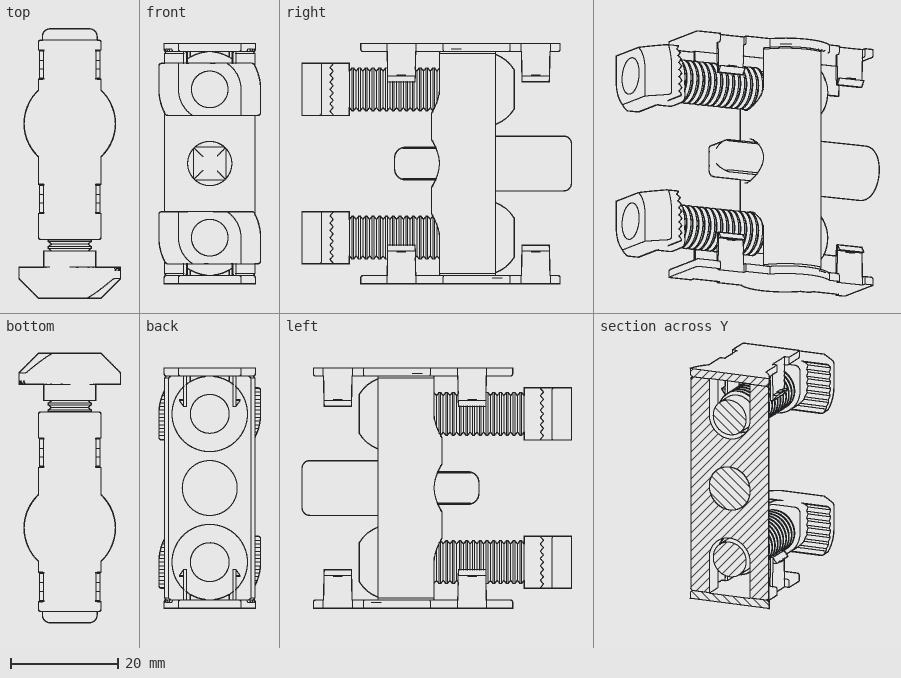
import cadquery as cq
import math


column_radius = 8.45
column_half_length = 20.85
column_flat_y = 3.5
column_rim_chamfer = 0.35
bore_radius = 4.1
bore_edge_fillet = 0.5
seat_notch_half_width = 3.6

plate_thickness = 1.55
plate_half_width = 5.8
plate_disc_radius = 8.55
plate_front_y = -21.6
plate_back_y = 15.55
plate_corner_fillet = 0.4
plate_edge_fillet = 0.45

clip_spacing = 25.0
front_clip_y = -14.0
clip_outer_x = 4.85
clip_thickness = 0.5
clip_root_width = 5.4
clip_tip_width = 5.1
clip_tip_z = 15.2
barb_height = 1.1
barb_reach = 0.8
barb_pad_width = 1.6
barb_pad_height = 0.2

pin_radius = 5.1
pin_back_y = 17.65
pin_edge_fillet = 1.45
shank_half_width = 3.05
shank_front_y = -15.3
shank_nose_radius = 2.1
shank_runout_y = -6.0

screw_z = 13.8
dome_radius = 7.05
dome_base_y = 1.0
dome_flat_y = 7.05
thread_outer_radius = 4.0
thread_root_radius = 3.4
thread_pitch = 1.25
thread_crest_width = 0.3
thread_crest_count = 14

nut_back_y = -23.7
head_back_y = -26.7
nut_front_y = -32.55
nut_half_height = 4.85
neck_corner_radius = 1.05
head_half_length = 9.5
head_corner_fillet = 0.55
head_bevel = 3.65
serration_pitch = 1.35
serration_depth = 0.6
serration_count = 7

plate_inner_z = column_half_length
plate_outer_z = plate_inner_z + plate_thickness


def y_cylinder(radius, front_y, back_y, z=0):
    """Cylinder along Y between two places."""
    return (
        cq.Workplane("XZ", origin=(0, front_y, 0))
        .center(0, z)
        .circle(radius)
        .extrude(front_y - back_y)
    )


def block(x_range, y_range, z_range):
    """Box given by its limits on each axis."""
    size = [high - low for low, high in (x_range, y_range, z_range)]
    corner = (x_range[0], y_range[0], z_range[0])
    return cq.Workplane("XY").box(*size, centered=False).translate(corner)


def cut_end_slot(column, side, radius, half_width, front_y, back_y):
    """Cut a round hole on a screw axis and a straight slot from it to that end of the column."""
    slot_z = sorted((side * screw_z, side * column_half_length))
    hole = y_cylinder(radius, front_y, back_y, side * screw_z)
    slot = block((-half_width, half_width), (front_y, back_y), slot_z)
    return column.cut(hole).cut(slot)


def make_column():
    column = (
        cq.Workplane("XY", origin=(0, 0, -column_half_length))
        .circle(column_radius)
        .extrude(2 * column_half_length)
        .edges("%CIRCLE")
        .chamfer(column_rim_chamfer)
    )
    column = column.cut(y_cylinder(bore_radius, -column_radius, column_flat_y))
    for side in (-1, 1):
        column = cut_end_slot(column, side, bore_radius, bore_radius, -column_radius, dome_base_y)

    mouth_half_length = column_half_length - column_rim_chamfer
    mouth_edges = cq.selectors.BoxSelector(
        (-column_radius / 2, -2 * column_radius, -mouth_half_length),
        (column_radius / 2, -column_radius / 2, mouth_half_length),
    )
    column = column.edges(mouth_edges).fillet(bore_edge_fillet)

    column = column.cut(
        block(
            (-column_radius, column_radius),
            (column_flat_y, column_radius),
            (-column_half_length, column_half_length),
        )
    )
    for side in (-1, 1):
        column = cut_end_slot(
            column, side, dome_radius, seat_notch_half_width, dome_base_y, column_flat_y
        )
    return column


def make_clip(center_y):
    """Snap clip on the +X side of the upper plate, with its barb facing outward."""
    arm = (
        cq.Workplane("YZ", origin=(clip_outer_x - clip_thickness, center_y, 0))
        .moveTo(-clip_root_width / 2, plate_outer_z)
        .lineTo(clip_root_width / 2, plate_outer_z)
        .lineTo(clip_tip_width / 2, clip_tip_z)
        .lineTo(-clip_tip_width / 2, clip_tip_z)
        .close()
        .extrude(clip_thickness)
    )
    ledge_z = clip_tip_z + barb_height
    barb = (
        cq.Workplane("XZ", origin=(0, center_y + clip_tip_width / 2, 0))
        .moveTo(clip_outer_x, clip_tip_z)
        .lineTo(clip_outer_x + barb_reach, ledge_z)
        .lineTo(clip_outer_x, ledge_z)
        .close()
        .extrude(clip_tip_width)
    )
    pad = block(
        (clip_outer_x, clip_outer_x + barb_reach),
        (center_y - barb_pad_width / 2, center_y + barb_pad_width / 2),
        (ledge_z, ledge_z + barb_pad_height),
    )
    return arm.union(barb).union(pad)


def make_upper_plate():
    strip = block(
        (-plate_half_width, plate_half_width),
        (plate_front_y, plate_back_y),
        (plate_inner_z, plate_outer_z),
    )
    disc = (
        cq.Workplane("XY", origin=(0, 0, plate_inner_z))
        .circle(plate_disc_radius)
        .extrude(plate_thickness)
    )
    plate = strip.edges("|Z").fillet(plate_corner_fillet).union(disc)
    plate = plate.faces("<Z").edges().fillet(plate_edge_fillet)

    for center_y in (front_clip_y, front_clip_y + clip_spacing):
        window = block(
            (clip_outer_x, plate_half_width),
            (center_y - clip_root_width / 2, center_y + clip_root_width / 2),
            (plate_inner_z, plate_outer_z),
        )
        clip = make_clip(center_y)
        plate = plate.cut(window).cut(window.mirror("YZ"))
        plate = plate.union(clip).union(clip.mirror("YZ"))
    return plate


def shank_prism(plane):
    """Prism with the outline of the shank: rounded nose, flats, then a sloping run-out."""
    nose_back_y = shank_front_y + shank_nose_radius
    nose_half_width = shank_half_width - shank_nose_radius
    slope_back_y = shank_runout_y + bore_radius - shank_half_width
    arc_offset = shank_nose_radius * math.sqrt(0.5)
    return (
        cq.Workplane(plane)
        .moveTo(0, shank_front_y)
        .lineTo(nose_half_width, shank_front_y)
        .threePointArc(
            (nose_half_width + arc_offset, nose_back_y - arc_offset),
            (shank_half_width, nose_back_y),
        )
        .lineTo(shank_half_width, shank_runout_y)
        .lineTo(bore_radius, slope_back_y)
        .lineTo(bore_radius, column_flat_y)
        .lineTo(0, column_flat_y)
        .mirrorY()
        .extrude(bore_radius, both=True)
    )


def make_pin():
    head = y_cylinder(pin_radius, column_flat_y, pin_back_y)
    head = head.faces(">Y").edges().fillet(pin_edge_fillet)
    shank = y_cylinder(bore_radius, shank_front_y, column_flat_y)
    shank = shank.intersect(shank_prism("XY"))
    shank = shank.intersect(shank_prism("ZY"))
    return head.union(shank)


def make_screw(z):
    dome_flat_radius = math.sqrt(dome_radius**2 - (dome_flat_y - dome_base_y) ** 2)
    dome_half_angle = math.asin((dome_flat_y - dome_base_y) / dome_radius) / 2
    dome_middle = (
        dome_radius * math.cos(dome_half_angle),
        dome_base_y + dome_radius * math.sin(dome_half_angle),
    )
    flank_width = (thread_pitch - thread_crest_width) / 2

    profile = (
        cq.Workplane("XY")
        .moveTo(0, nut_front_y)
        .lineTo(thread_root_radius, nut_front_y)
        .lineTo(thread_root_radius, nut_back_y)
    )
    for index in range(thread_crest_count):
        crest_y = nut_back_y + index * thread_pitch + flank_width
        crest_end_y = crest_y + thread_crest_width
        profile = (
            profile.lineTo(thread_outer_radius, crest_y)
            .lineTo(thread_outer_radius, crest_end_y)
            .lineTo(thread_root_radius, crest_end_y + flank_width)
        )
    profile = (
        profile.lineTo(thread_root_radius, dome_base_y)
        .lineTo(dome_radius, dome_base_y)
        .threePointArc(dome_middle, (dome_flat_radius, dome_flat_y))
        .lineTo(0, dome_flat_y)
        .close()
    )
    return profile.revolve(360, (0, 0, 0), (0, 1, 0)).translate((0, 0, z))


def make_neck():
    """Square neck with two opposite corners cut to full quarter circles.

    It reaches into the head as deep as the serrations, so they stop at its sides.
    """
    half = nut_half_height
    quarter = half * math.sqrt(0.5)
    corner = neck_corner_radius
    return (
        cq.Workplane("XZ", origin=(0, nut_back_y, 0))
        .moveTo(0, half)
        .threePointArc((quarter, quarter), (half, 0))
        .lineTo(half, corner - half)
        .tangentArcPoint((-corner, -corner))
        .lineTo(0, -half)
        .threePointArc((-quarter, -quarter), (-half, 0))
        .lineTo(-half, half - corner)
        .tangentArcPoint((corner, corner))
        .close()
        .extrude(nut_back_y - head_back_y + serration_depth)
    )


def bevel_profile():
    """Half section of the head along X, from the screw axis to the bevelled end."""
    return (
        cq.Workplane("XY")
        .moveTo(0, head_back_y)
        .lineTo(head_half_length, head_back_y)
        .lineTo(head_half_length, nut_front_y + head_bevel)
        .lineTo(head_half_length - head_bevel, nut_front_y)
        .lineTo(0, nut_front_y)
        .close()
    )


def make_head():
    half_height = nut_half_height
    length = head_half_length
    arc_end_x = math.sqrt(length**2 - half_height**2)
    arc_mid_z = half_height / 2
    arc_mid_x = math.sqrt(length**2 - arc_mid_z**2)
    head = (
        cq.Workplane("XZ", origin=(0, head_back_y, 0))
        .moveTo(-length, half_height)
        .lineTo(arc_end_x, half_height)
        .threePointArc((arc_mid_x, arc_mid_z), (length, 0))
        .lineTo(length, -half_height)
        .lineTo(-arc_end_x, -half_height)
        .threePointArc((-arc_mid_x, -arc_mid_z), (-length, 0))
        .close()
        .extrude(head_back_y - nut_front_y)
    )
    corner_edges = head.edges("|Y").edges(">Z or <Z")
    head = corner_edges.fillet(head_corner_fillet)

    bevelled = bevel_profile().revolve(360, (0, 0, 0), (0, 1, 0))
    square_corner = bevel_profile().extrude(-half_height)
    bevelled = bevelled.union(square_corner)
    bevelled = bevelled.union(square_corner.rotate((0, 0, 0), (0, 1, 0), 180))
    return head.intersect(bevelled)


def make_serration(center_z):
    """V groove along X in the clamping face of the head."""
    return (
        cq.Workplane("YZ", origin=(0, head_back_y, center_z))
        .moveTo(0, -serration_pitch / 2)
        .lineTo(-serration_depth, 0)
        .lineTo(0, serration_pitch / 2)
        .close()
        .extrude(head_half_length, both=True)
    )


def make_nut(z):
    head = make_head()
    for index in range(serration_count):
        center_z = (index - (serration_count - 1) / 2) * serration_pitch
        head = head.cut(make_serration(center_z))
    nut = make_neck().union(head)
    nut = nut.cut(y_cylinder(thread_root_radius, nut_front_y, nut_back_y))
    return nut.translate((0, 0, z))


column = make_column()
upper_plate = make_upper_plate()
plates = [upper_plate, upper_plate.mirror("XY")]
pin = make_pin()
screws = [make_screw(side * screw_z) for side in (-1, 1)]
nuts = [make_nut(side * screw_z) for side in (-1, 1)]

bodies = [column, pin, *plates, *screws, *nuts]
result = cq.Compound.makeCompound([body.solids().val() for body in bodies])